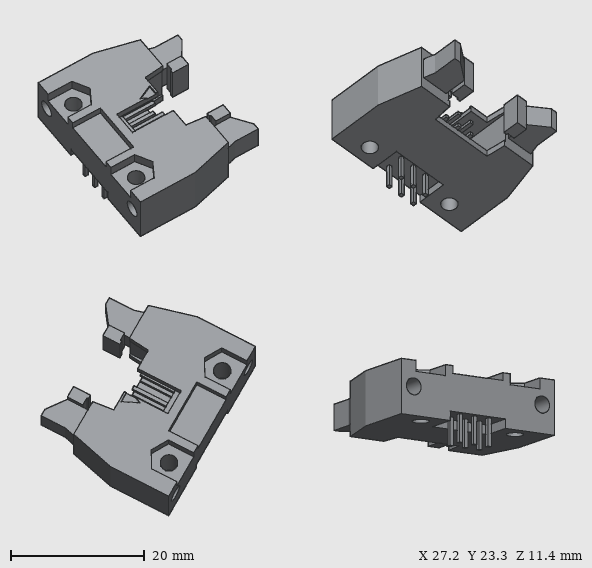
import cadquery as cq
import math

HOUSING_HALF_WIDTH = 13.6
HOUSING_HEIGHT = 8.5
SIDE_LENGTH = 9.9
MOUTH_Y = 13.8
ARM_END_Y = 17.2
ARM_END_OUTER_X = 11.7
ARM_END_INNER_X = 5.75
ARM_ROOT_INNER_X = 5.4

CAVITY_HALF_WIDTH = 6.0
CAVITY_FLOOR_Z = 1.2
CAVITY_ROOF_Z = HOUSING_HEIGHT - CAVITY_FLOOR_Z
CAVITY_BACK_Y = 7.4

KEY_HALF_WIDTH = 2.08
KEY_BACK_Y = 6.4
MARK_TIP_Y = 10.9
MARK_BASE_Y = 13.46
MARK_HALF_WIDTH = 1.2
MARK_DEPTH = 0.3

HOLE_DIAMETER = 2.6
MOUNT_X = 8.35
MOUNT_Y = 2.8
NUT_HALF_WIDTH = 2.62
NUT_DEPTH = 1.7

REAR_HOLE_X = 11.4
REAR_HOLE_Z = 4.45
REAR_HOLE_DEPTH = 5.0

TOP_RECESS_HALF_WIDTH = 4.42
TOP_RECESS_DEPTH = 1.2
REAR_RECESS_LENGTH = 5.0
CLEARANCE_HALF_WIDTH = 4.92
CLEARANCE_HEIGHT = 1.45

PIN_WIDTH = 0.6
PIN_PITCH = 2.54
PIN_COLUMNS = 3
PIN_BOTTOM_Z = -2.9
PIN_TIP_Y = 13.46
REAR_LEG_Y = 1.05

LATCH_HEIGHT = 4.05
LATCH_ROOT_Y = 15.2
LATCH_BEND_Y = 19.15
LATCH_TIP_Y = 23.3
LATCH_OUTER_X = 10.7
LATCH_TIP_INNER_X = 9.55
LATCH_INNER_X = 6.53
LATCH_SLOPE = 0.28
HOOK_HEIGHT = 6.0
HOOK_TOP_Y = 21.1
HOOK_STEP_Y = 18.45
HOOK_LIP_Y = 18.2
HOOK_TIP_X = 4.6
HOOK_LIP_WIDTH = 0.63

MID_Z = HOUSING_HEIGHT / 2


def box(x0, x1, y0, y1, z0, z1):
    """Box between opposite corners."""
    return cq.Workplane("XY").box(x1 - x0, y1 - y0, z1 - z0, centered=False).translate((x0, y0, z0))


def plate(points, z0, z1):
    """Flat plate with a polygon outline between two heights."""
    return cq.Workplane("XY", origin=(0, 0, z0)).polyline(points).close().extrude(z1 - z0)


def make_block():
    right_side = [
        (HOUSING_HALF_WIDTH, 0),
        (HOUSING_HALF_WIDTH, SIDE_LENGTH),
        (ARM_END_OUTER_X, ARM_END_Y),
        (ARM_END_INNER_X, ARM_END_Y),
        (ARM_ROOT_INNER_X, MOUTH_Y),
    ]
    left_side = [(-x, y) for x, y in reversed(right_side)]
    return plate(right_side + left_side, 0, HOUSING_HEIGHT)


def make_cavity():
    cavity = box(
        -CAVITY_HALF_WIDTH, CAVITY_HALF_WIDTH,
        CAVITY_BACK_Y, ARM_END_Y,
        CAVITY_FLOOR_Z, CAVITY_ROOF_Z,
    )
    key_slot = box(
        -KEY_HALF_WIDTH, KEY_HALF_WIDTH,
        KEY_BACK_Y, MOUTH_Y,
        CAVITY_ROOF_Z, HOUSING_HEIGHT,
    )
    return cavity.union(key_slot)


def make_pin_one_mark():
    corners = [
        (-PIN_PITCH - MARK_HALF_WIDTH, MARK_BASE_Y),
        (-PIN_PITCH + MARK_HALF_WIDTH, MARK_BASE_Y),
        (-PIN_PITCH, MARK_TIP_Y),
    ]
    return plate(corners, HOUSING_HEIGHT - MARK_DEPTH, HOUSING_HEIGHT)


def make_mounting_cut(x):
    """Vertical through hole with a nut pocket: half a hexagon run out to the rear face."""
    shoulder_y = MOUNT_Y + NUT_HALF_WIDTH * math.tan(math.radians(30))
    apex_y = MOUNT_Y + NUT_HALF_WIDTH / math.cos(math.radians(30))
    outline = [
        (x - NUT_HALF_WIDTH, 0),
        (x + NUT_HALF_WIDTH, 0),
        (x + NUT_HALF_WIDTH, shoulder_y),
        (x, apex_y),
        (x - NUT_HALF_WIDTH, shoulder_y),
    ]
    pocket = plate(outline, HOUSING_HEIGHT - NUT_DEPTH, HOUSING_HEIGHT)
    hole = cq.Workplane("XY").center(x, MOUNT_Y).circle(HOLE_DIAMETER / 2).extrude(HOUSING_HEIGHT)
    return pocket.union(hole)


def make_rear_hole(x):
    face = cq.Workplane("XZ").center(x, REAR_HOLE_Z)
    return face.circle(HOLE_DIAMETER / 2).extrude(-REAR_HOLE_DEPTH)


def make_top_recess():
    return box(
        -TOP_RECESS_HALF_WIDTH, TOP_RECESS_HALF_WIDTH,
        0, REAR_RECESS_LENGTH,
        HOUSING_HEIGHT - TOP_RECESS_DEPTH, HOUSING_HEIGHT,
    )


def make_pin_clearance():
    return box(
        -CLEARANCE_HALF_WIDTH, CLEARANCE_HALF_WIDTH,
        0, REAR_RECESS_LENGTH,
        0, CLEARANCE_HEIGHT,
    )


def make_pin(x, leg_y, contact_z):
    """Right-angle pin: a leg pointing down and a contact pointing forward."""
    half = PIN_WIDTH / 2
    leg = box(x - half, x + half, leg_y - half, leg_y + half, PIN_BOTTOM_Z, contact_z + half)
    contact = box(x - half, x + half, leg_y - half, PIN_TIP_Y, contact_z - half, contact_z + half)
    return leg.union(contact)


def make_latch():
    """Right-hand ejector latch: a lever with a taller hook on its inner side."""
    root_outer_x = LATCH_OUTER_X + LATCH_SLOPE * (LATCH_BEND_Y - LATCH_ROOT_Y)
    lever_outline = [
        (LATCH_INNER_X, LATCH_ROOT_Y),
        (root_outer_x, LATCH_ROOT_Y),
        (LATCH_OUTER_X, LATCH_BEND_Y),
        (LATCH_OUTER_X, LATCH_TIP_Y),
        (LATCH_TIP_INNER_X, LATCH_TIP_Y),
        (LATCH_INNER_X, HOOK_TOP_Y),
    ]
    lip_end_x = HOOK_TIP_X + HOOK_LIP_WIDTH
    hook_outline = [
        (LATCH_INNER_X, HOOK_TOP_Y),
        (HOOK_TIP_X, HOOK_TOP_Y),
        (HOOK_TIP_X, HOOK_LIP_Y),
        (lip_end_x, HOOK_LIP_Y),
        (lip_end_x, HOOK_STEP_Y),
        (LATCH_INNER_X, HOOK_STEP_Y),
    ]
    lever = plate(lever_outline, MID_Z - LATCH_HEIGHT / 2, MID_Z + LATCH_HEIGHT / 2)
    hook = plate(hook_outline, MID_Z - HOOK_HEIGHT / 2, MID_Z + HOOK_HEIGHT / 2)
    return lever.union(hook)


def make_housing():
    housing = make_block().cut(make_cavity()).cut(make_pin_one_mark())
    housing = housing.cut(make_top_recess()).cut(make_pin_clearance())
    for side in (-1, 1):
        housing = housing.cut(make_mounting_cut(side * MOUNT_X))
        housing = housing.cut(make_rear_hole(side * REAR_HOLE_X))
    return housing


def make_connector():
    connector = make_housing()
    for column in range(PIN_COLUMNS):
        x = (column - (PIN_COLUMNS - 1) / 2) * PIN_PITCH
        connector = connector.union(make_pin(x, REAR_LEG_Y, MID_Z + PIN_PITCH / 2))
        connector = connector.union(make_pin(x, REAR_LEG_Y + PIN_PITCH, MID_Z - PIN_PITCH / 2))
    latch = make_latch()
    return connector.union(latch).union(latch.mirror("YZ"))


result = make_connector()